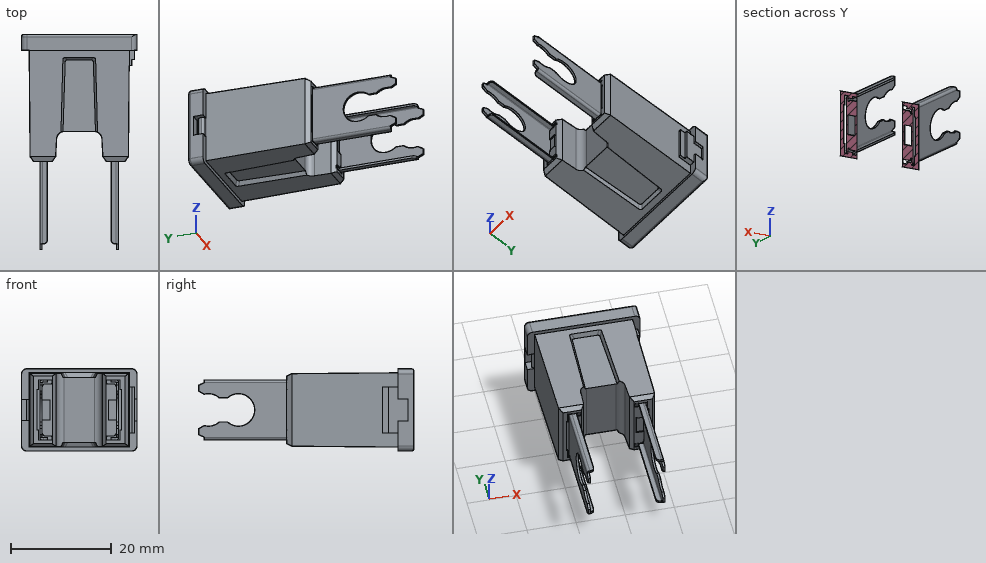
import cadquery as cq
import math


CAP_WIDTH = 23.0
CAP_HEIGHT = 16.4
CAP_HALF_WIDTH = CAP_WIDTH / 2
CAP_HALF_HEIGHT = CAP_HEIGHT / 2
CAP_DEPTH = 3.2
CAP_CORNER_RADIUS = 1.05
CAP_EDGE_RADIUS = 0.5

ROOT_HALF_WIDTH = 9.97
ROOT_HALF_HEIGHT = 7.4
LEG_DRAFT = 0.15
LEG_HALF_WIDTH = ROOT_HALF_WIDTH - LEG_DRAFT
LEG_HALF_HEIGHT = ROOT_HALF_HEIGHT - LEG_DRAFT
LEG_DEPTH = 25.3
TIP_LENGTH = 1.03
SHOULDER_DEPTH = LEG_DEPTH - TIP_LENGTH
TIP_SIDE_INSET = 0.7
TIP_HEIGHT_INSET = 0.5
GAP_DEPTH = 19.35
GAP_ROOT_HALF_WIDTH = 4.4
GAP_MOUTH_HALF_WIDTH = 4.65
GAP_CORNER_RADIUS = 1.5

PANEL_START = 5.1
PANEL_START_HALF_WIDTH = 2.8
PANEL_GAP_HALF_WIDTH = 3.25
PANEL_FLOOR_Z = 6.45
PANEL_WALL_RUN = 0.45
PANEL_WALL_RISE = 0.95
PANEL_CORNER_RADIUS = 0.5
PANEL_OVERRUN = 0.85

NOTCH_START = 1.15
BUMP_NOTCH_HALF_HEIGHT = 2.05
BUMP_HEIGHT = 0.5
BUMP_BACK_RADIUS = 1.03
BUMP_CREST = 2.5
BUMP_END = 3.05
BUMP_CREST_X = -ROOT_HALF_WIDTH - BUMP_HEIGHT
BUMP_ROOT_X = BUMP_CREST_X + BUMP_BACK_RADIUS

TAB_HALF_HEIGHT = 4.55
TAB_OUTER_X = 11.0
TAB_STEP_X = 10.45
TAB_STEP_DEPTH = 5.05
TAB_DEPTH = 6.25
TAB_NOTCH_HALF_HEIGHT = 2.2

TOTAL_DEPTH = 42.8
BLADE_OUTER_X = 7.85
BLADE_THICKNESS = 0.45
BLADE_INNER_X = BLADE_OUTER_X - BLADE_THICKNESS
BLADE_BEND_RADIUS = 0.55
BLADE_HALF_HEIGHT = 6
FLANGE_INNER_X = 6.35
FLANGE_DEPTH = 41.7
FLANGE_TIP_RADIUS = 0.8
BLADE_ROOT_DEPTH = 22.25
PRONG_OUTER_Z = BLADE_HALF_HEIGHT - BLADE_BEND_RADIUS
PRONG_TIP_OUTER_Z = 4.92
PRONG_TIP_INNER_Z = 3.72
FORK_RADIUS = 3.2
FORK_THROAT_HALF_HEIGHT = 2.4
FORK_SEAT_DEPTH = 34.9
FORK_ENTRY_DEPTH = 40.85

RECESS_DEPTH = 0.25
RECESS_OUTER_X = 8.15
RECESS_ARM_X = 5.4
RECESS_ARM_INNER_Z = 5.2
RECESS_ARM_RADIUS = 0.25
RECESS_THROAT_RADIUS = 0.65
SIDE_RECESS_X = 8.4
SIDE_RECESS_HALF_HEIGHT = 4.02
KEY_RECESS_X = 5.8
KEY_RECESS_HALF_HEIGHT = 2.0


def block(x_from, x_to, depth_from, depth_to, half_height):
    """Box between two x values and two depths, centred on z = 0."""
    size = (x_to - x_from, depth_to - depth_from, 2 * half_height)
    return cq.Workplane("XY").box(*size, centered=(False, False, True)).translate((x_from, -depth_to, 0))


def plate(sketch, half_height):
    """Extrude a closed XY outline equally above and below z = 0."""
    return sketch.extrude(half_height, both=True)


def cross_section(depth):
    """Plane across the part at a depth: local x is X, local y is Z, and its normal points to -Y."""
    return cq.Workplane("XZ", origin=(0, -depth, 0))


def both_sides(shape):
    """A shape together with its mirror image across x = 0."""
    return shape.union(shape.mirror("YZ"))


def make_cap():
    blank = block(-CAP_HALF_WIDTH, CAP_HALF_WIDTH, 0, CAP_DEPTH, CAP_HALF_HEIGHT)
    cap = blank.edges("|Y and <X").fillet(CAP_CORNER_RADIUS)
    cap = cap.faces(">Y").edges("not(>X)").fillet(CAP_EDGE_RADIUS)
    return cap.intersect(blank.edges("|Y").fillet(CAP_CORNER_RADIUS))


def make_gap():
    gap = plate(
        cq.Workplane("XY").polyline([
            (-GAP_ROOT_HALF_WIDTH, -GAP_DEPTH),
            (GAP_ROOT_HALF_WIDTH, -GAP_DEPTH),
            (GAP_MOUTH_HALF_WIDTH, -SHOULDER_DEPTH),
            (-GAP_MOUTH_HALF_WIDTH, -SHOULDER_DEPTH),
        ]).close(),
        CAP_HALF_HEIGHT,
    )
    return gap.edges("|Z and >Y").fillet(GAP_CORNER_RADIUS)


def panel_outline(spread):
    """Panel corners with the back and sides moved outward by a spread; the open end stays in the gap."""
    start = PANEL_START - spread
    end = GAP_DEPTH + PANEL_OVERRUN
    start_half_width = PANEL_START_HALF_WIDTH + spread
    end_half_width = PANEL_GAP_HALF_WIDTH + spread
    return [
        (-start_half_width, -start),
        (start_half_width, -start),
        (end_half_width, -end),
        (-end_half_width, -end),
    ]


def make_panel():
    panel = (
        cq.Workplane("XY", origin=(0, 0, PANEL_FLOOR_Z))
        .polyline(panel_outline(0)).close()
        .workplane(offset=PANEL_WALL_RISE)
        .polyline(panel_outline(PANEL_WALL_RUN)).close()
        .loft(ruled=True)
    )
    back_corners = panel.faces(">Y").edges("not(|X)")
    return back_corners.fillet(PANEL_CORNER_RADIUS)


def make_leg_tip():
    base_width = LEG_HALF_WIDTH - GAP_MOUTH_HALF_WIDTH
    center_x = -(LEG_HALF_WIDTH + GAP_MOUTH_HALF_WIDTH) / 2
    return (
        cross_section(SHOULDER_DEPTH).center(center_x, 0)
        .rect(base_width, 2 * LEG_HALF_HEIGHT)
        .workplane(offset=TIP_LENGTH)
        .rect(base_width - 2 * TIP_SIDE_INSET, 2 * (LEG_HALF_HEIGHT - TIP_HEIGHT_INSET))
        .loft(ruled=True)
    )


def make_housing():
    body = (
        cross_section(CAP_DEPTH).rect(2 * ROOT_HALF_WIDTH, 2 * ROOT_HALF_HEIGHT)
        .workplane(offset=SHOULDER_DEPTH - CAP_DEPTH)
        .rect(2 * LEG_HALF_WIDTH, 2 * LEG_HALF_HEIGHT)
        .loft(ruled=True)
    )
    panel = make_panel()
    body = body.cut(make_gap()).cut(panel).cut(panel.mirror("XY"))
    return body.union(both_sides(make_leg_tip()))


def make_bump_notch():
    return block(-CAP_HALF_WIDTH, BUMP_ROOT_X, NOTCH_START, CAP_DEPTH, BUMP_NOTCH_HALF_HEIGHT)


def make_bump():
    back_mid_x = BUMP_ROOT_X - BUMP_BACK_RADIUS * math.sin(math.pi / 4)
    back_mid_depth = BUMP_CREST - BUMP_BACK_RADIUS * math.cos(math.pi / 4)
    outline = (
        cq.Workplane("XY").moveTo(BUMP_ROOT_X, -(BUMP_CREST - BUMP_BACK_RADIUS))
        .threePointArc((back_mid_x, -back_mid_depth), (BUMP_CREST_X, -BUMP_CREST))
        .tangentArcPoint((-ROOT_HALF_WIDTH, -BUMP_END), relative=False)
        .lineTo(-ROOT_HALF_WIDTH, -CAP_DEPTH)
        .lineTo(BUMP_ROOT_X, -CAP_DEPTH)
        .close()
    )
    return plate(outline, BUMP_NOTCH_HALF_HEIGHT)


def make_tab():
    wide = block(LEG_HALF_WIDTH, TAB_OUTER_X, CAP_DEPTH, TAB_STEP_DEPTH, TAB_HALF_HEIGHT)
    thin = block(LEG_HALF_WIDTH, TAB_STEP_X, TAB_STEP_DEPTH, TAB_DEPTH, TAB_HALF_HEIGHT)
    return wide.union(thin)


def make_tab_notch():
    return block(TAB_OUTER_X, CAP_HALF_WIDTH, NOTCH_START, CAP_DEPTH, TAB_NOTCH_HALF_HEIGHT)


def make_channel():
    channel = block(-BLADE_OUTER_X, -FLANGE_INNER_X, BLADE_ROOT_DEPTH, FLANGE_DEPTH, BLADE_HALF_HEIGHT)
    channel = channel.edges("|Y and <X").fillet(BLADE_BEND_RADIUS)
    channel = channel.edges("|Z and >X and <Y").fillet(FLANGE_TIP_RADIUS)
    inside = block(
        -BLADE_INNER_X, -FLANGE_INNER_X, BLADE_ROOT_DEPTH, FLANGE_DEPTH,
        BLADE_HALF_HEIGHT - BLADE_THICKNESS,
    )
    inside = inside.edges("|Y and <X").fillet(BLADE_BEND_RADIUS - BLADE_THICKNESS)
    return channel.cut(inside)


def make_prongs():
    side = cq.Workplane("YZ", origin=(-BLADE_OUTER_X, 0, 0))
    return side.polyline([
        (-SHOULDER_DEPTH, PRONG_OUTER_Z),
        (-FLANGE_DEPTH, PRONG_OUTER_Z),
        (-TOTAL_DEPTH, PRONG_TIP_OUTER_Z),
        (-TOTAL_DEPTH, -PRONG_TIP_OUTER_Z),
        (-FLANGE_DEPTH, -PRONG_OUTER_Z),
        (-SHOULDER_DEPTH, -PRONG_OUTER_Z),
    ]).close().extrude(BLADE_THICKNESS)


def make_fork():
    side = cq.Workplane("YZ", origin=(-BLADE_OUTER_X, 0, 0))
    seat = side.center(-FORK_SEAT_DEPTH, 0).circle(FORK_RADIUS).extrude(BLADE_THICKNESS)
    entry = side.center(-FORK_ENTRY_DEPTH, 0).circle(FORK_RADIUS).extrude(BLADE_THICKNESS)
    blade_faces = (-BLADE_OUTER_X, -BLADE_INNER_X)
    throat = block(*blade_faces, FORK_SEAT_DEPTH, TOTAL_DEPTH, FORK_THROAT_HALF_HEIGHT)
    flare_start_z = math.sqrt(FORK_RADIUS**2 - (FLANGE_DEPTH - FORK_ENTRY_DEPTH)**2)
    flare = side.polyline([
        (-FLANGE_DEPTH, flare_start_z),
        (-TOTAL_DEPTH, PRONG_TIP_INNER_Z),
        (-TOTAL_DEPTH, -PRONG_TIP_INNER_Z),
        (-FLANGE_DEPTH, -flare_start_z),
    ]).close().extrude(BLADE_THICKNESS)
    return seat.union(entry).union(throat).union(flare)


def make_blade():
    return make_channel().union(make_prongs()).cut(make_fork())


def make_blade_recess():
    depths = (LEG_DEPTH - RECESS_DEPTH, LEG_DEPTH)
    clearance = block(-RECESS_OUTER_X, -RECESS_ARM_X, *depths, BLADE_HALF_HEIGHT)
    core = block(-BLADE_INNER_X, -RECESS_ARM_X, *depths, RECESS_ARM_INNER_Z)
    core = core.edges("|Y and <X").fillet(RECESS_THROAT_RADIUS)
    clearance = clearance.cut(core).edges("|Y and >X").fillet(RECESS_ARM_RADIUS)
    side = block(-SIDE_RECESS_X, -RECESS_OUTER_X, *depths, SIDE_RECESS_HALF_HEIGHT)
    key = block(-BLADE_INNER_X, -KEY_RECESS_X, *depths, KEY_RECESS_HALF_HEIGHT)
    return clearance.union(side).union(key)


shell = make_cap().union(make_housing()).union(make_tab())
shell = shell.cut(make_bump_notch()).cut(make_tab_notch()).union(make_bump())
shell = shell.cut(both_sides(make_blade_recess()))
result = shell.union(both_sides(make_blade()))